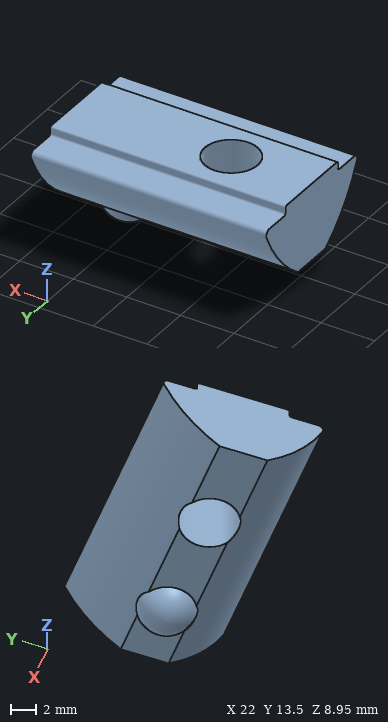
import cadquery as cq

length = 22.0
width = 13.5
height = 8.95

rib_width = 7.79
rib_height = 0.84
rib_edge_radius = 0.2
base_width = 4.05
base_z = 1.74
wing_radius = 0.5
flank_top_y = 6.67
flank_top_z = 7.4
flank_mid_y = 4.85
flank_mid_z = 4.4

hole_diameter = 4.9
hole_x = 7.52
ball_diameter = 5.0
ball_x = 17.03

shoulder_z = height - rib_height
wing_center_y = width / 2 - wing_radius
wing_center_z = shoulder_z - wing_radius


def make_body():
    """Extrude the profile: rib, shoulders, rounded wings and bowed flanks."""
    body = (
        cq.Workplane("YZ")
        .moveTo(-base_width / 2, base_z)
        .lineTo(base_width / 2, base_z)
        .threePointArc((flank_mid_y, flank_mid_z), (flank_top_y, flank_top_z))
        .threePointArc((width / 2, wing_center_z), (wing_center_y, shoulder_z))
        .lineTo(rib_width / 2, shoulder_z)
        .lineTo(rib_width / 2, height)
        .lineTo(-rib_width / 2, height)
        .lineTo(-rib_width / 2, shoulder_z)
        .lineTo(-wing_center_y, shoulder_z)
        .threePointArc((-width / 2, wing_center_z), (-flank_top_y, flank_top_z))
        .threePointArc((-flank_mid_y, flank_mid_z), (-base_width / 2, base_z))
        .close()
        .extrude(length)
    )
    margin = rib_edge_radius / 2
    rib_zone = cq.selectors.BoxSelector(
        (-margin, -rib_width / 2 - margin, shoulder_z - margin),
        (length + margin, rib_width / 2 + margin, height + margin),
    )
    return body.edges("|X").edges(rib_zone).fillet(rib_edge_radius)


def make_hole():
    """Vertical cylinder through the full height."""
    return cq.Workplane("XY").center(hole_x, 0).circle(hole_diameter / 2).extrude(height)


def make_ball():
    """Sphere embedded in the underside, with its lowest point at z = 0."""
    radius = ball_diameter / 2
    return cq.Workplane("XY").sphere(radius).translate((ball_x, 0, radius))


result = make_body().cut(make_hole()).union(make_ball())